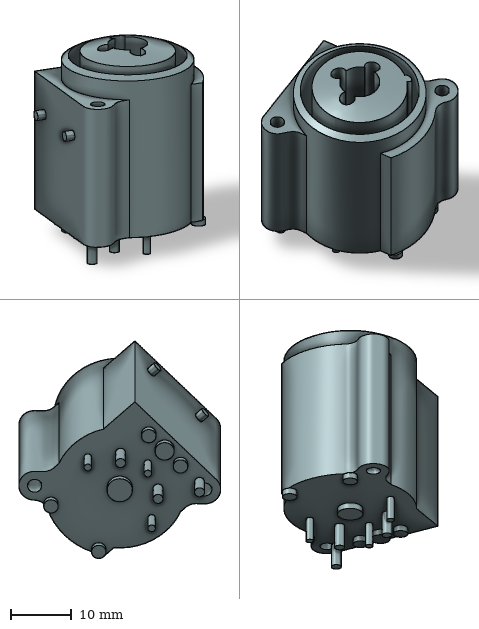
import cadquery as cq
import math

body_bottom = 4.05
body_top = 28.05
collar_edge = 31.35
collar_top = 32.02
dome_edge = 32.8
overall_height = 34.1
cavity_floor = 17.05
foot_length = 1.02

overall_width = 25.0
half_width = overall_width / 2
ear_offset = 9.9
ear_radius = half_width - ear_offset
ear_hole_radius = 1.15
left_wall_x = -9.5
right_wall_x = 7.2
side_wall_x = 10.05
side_fillet = 2.45
top_fillet = 2.32

collar_radius = 10.9
collar_bore_radius = 9.75
plug_radius = 7.85
key_radius = 0.75
key_center = 5.7
jack_radius = 3.27
contact_radius = 1.25
contact_offset = 4.02

overall_depth = 26.5
peg_radius = 0.82
peg_x = 5.7
peg_z = 21.72
thin_pin_radius = 0.6
thick_pin_radius = 0.82
thin_pins = [(-7.6, 0), (7.6, 0), (0, -6.38)]
thick_pins = [(-4.47, -4.45), (4.47, -4.45), (8.32, -10.2)]
foot_row_y = 10.2
small_foot_radius = 1.2
small_feet = [(-5.7, foot_row_y), (5.7, foot_row_y), (-3.8, -foot_row_y), (3.8, -foot_row_y)]
front_foot_radius = 1.57
center_foot_radius = 2.08


def cylinders(points, radius, bottom, top):
    """Vertical cylinders between two heights."""
    return cq.Workplane("XY", origin=(0, 0, bottom)).pushPoints(points).circle(radius).extrude(top - bottom)


def toward(start, end, distance):
    """Point at a distance from start on the way to end."""
    ratio = distance / math.dist(start, end)
    return (start[0] + ratio * (end[0] - start[0]), start[1] + ratio * (end[1] - start[1]))


def on_circle(center, radius, degrees):
    angle = math.radians(degrees)
    return (center[0] + radius * math.cos(angle), center[1] + radius * math.sin(angle))


def circle_height(radius, x):
    """Y of a circle about the axis at a given x."""
    return math.sqrt(radius**2 - x**2)


def opposite(point):
    return (-point[0], -point[1])


def body_outline():
    """Closed outline with two opposite ears, a square corner and a round back.

    The walls stop inside the round barrel, which completes both sides.
    """
    ear = (-ear_offset, ear_offset)

    hollow_x = -side_wall_x - side_fillet
    hollow_y = -hollow_x - math.sqrt(2) * (ear_radius + side_fillet)
    hollow = (hollow_x, hollow_y)
    hollow_end = on_circle(hollow, side_fillet, 0)
    hollow_mid = on_circle(hollow, side_fillet, 22.5)
    hollow_start = on_circle(hollow, side_fillet, 45)
    ear_end = on_circle(ear, ear_radius, 225)

    ear_distance = math.sqrt(2) * ear_offset
    to_axis = half_width + top_fillet
    to_ear = ear_radius + top_fillet
    along = (to_axis**2 - to_ear**2 + ear_distance**2) / (2 * ear_distance)
    across = math.sqrt(to_axis**2 - along**2)
    top_center = ((across - along) / math.sqrt(2), (across + along) / math.sqrt(2))
    ear_start = toward(ear, top_center, ear_radius)
    back_start = toward((0, 0), top_center, half_width)
    chord_mid = ((ear_start[0] + back_start[0]) / 2, (ear_start[1] + back_start[1]) / 2)
    top_mid = toward(top_center, chord_mid, top_fillet)

    return (
        cq.Workplane("XY", origin=(0, 0, body_bottom))
        .moveTo(left_wall_x, -half_width)
        .lineTo(ear_offset, -half_width)
        .threePointArc(on_circle(opposite(ear), ear_radius, -22.5), opposite(ear_end))
        .lineTo(*opposite(hollow_start))
        .threePointArc(opposite(hollow_mid), opposite(hollow_end))
        .lineTo(side_wall_x, 0)
        .lineTo(right_wall_x, 0)
        .lineTo(right_wall_x, circle_height(half_width, right_wall_x))
        .threePointArc((0, half_width), back_start)
        .threePointArc(top_mid, ear_start)
        .threePointArc(on_circle(ear, ear_radius, 135), ear_end)
        .lineTo(*hollow_start)
        .threePointArc(hollow_mid, hollow_end)
        .lineTo(-side_wall_x, 0)
        .lineTo(left_wall_x, 0)
        .close()
    )


def make_housing():
    """Body with ear holes, and a full-height barrel ending in a bevelled collar around a round cavity."""
    ears = [(-ear_offset, ear_offset), (ear_offset, -ear_offset)]
    body = body_outline().extrude(body_top - body_bottom)
    body = body.cut(cylinders(ears, ear_hole_radius, body_bottom, body_top))
    barrel = (
        cq.Workplane("XZ")
        .moveTo(0, body_bottom)
        .lineTo(collar_radius, body_bottom)
        .lineTo(collar_radius, collar_edge)
        .lineTo(collar_bore_radius, collar_top)
        .lineTo(0, collar_top)
        .close()
        .revolve(360, (0, 0), (0, 1))
    )
    return body.union(barrel).cut(cylinders([(0, 0)], collar_bore_radius, cavity_floor, collar_top))


def make_plug():
    """Domed plug with a key on its side and a jack opening with three contact slots."""
    rise = overall_height - dome_edge
    drop_to_center = (plug_radius**2 - jack_radius**2 - rise**2) / (2 * rise)
    dome_center_z = dome_edge - drop_to_center
    dome_radius = math.hypot(plug_radius, drop_to_center)

    apex_z = dome_center_z + dome_radius
    blank_top = apex_z + rise
    rim_radius = plug_radius + 2 * key_radius

    envelope = (
        cq.Workplane("XZ")
        .moveTo(0, 0)
        .lineTo(rim_radius, 0)
        .lineTo(rim_radius, dome_center_z + circle_height(dome_radius, rim_radius))
        .threePointArc((jack_radius, overall_height), (0, apex_z))
        .close()
        .revolve(360, (0, 0), (0, 1))
    )
    barrel = cylinders([(0, 0)], plug_radius, cavity_floor, blank_top).intersect(envelope)
    key = cylinders([(-key_center, key_center)], key_radius, cavity_floor, blank_top).intersect(envelope)
    plug = barrel.union(key)

    slots = [(-contact_offset, 0), (contact_offset, 0), (0, -contact_offset)]
    plug = plug.cut(cylinders([(0, 0)], jack_radius, cavity_floor, blank_top))
    return plug.cut(cylinders(slots, contact_radius, cavity_floor, blank_top))


def make_front_pegs():
    """Two pegs standing out of the flat front wall."""
    return (
        cq.Workplane("XZ", origin=(0, -half_width, peg_z))
        .pushPoints([(-peg_x, 0), (peg_x, 0)])
        .circle(peg_radius)
        .extrude(overall_depth - overall_width)
    )


result = make_housing().union(make_plug()).union(make_front_pegs())

foot_bottom = body_bottom - foot_length
result = result.union(cylinders(thin_pins, thin_pin_radius, 0, body_bottom))
result = result.union(cylinders(thick_pins, thick_pin_radius, 0, body_bottom))
result = result.union(cylinders(small_feet, small_foot_radius, foot_bottom, body_bottom))
result = result.union(cylinders([(0, -foot_row_y)], front_foot_radius, foot_bottom, body_bottom))
result = result.union(cylinders([(0, 0)], center_foot_radius, foot_bottom, body_bottom))